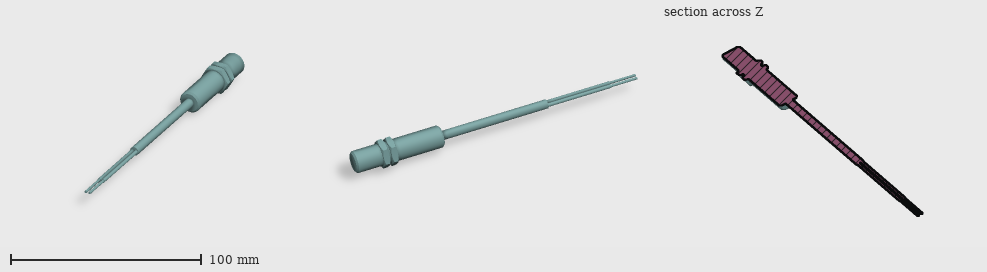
import cadquery as cq
import math

total_length = 160.8
body_length = 50.0
cable_length = 60.0
insulation_length = 36.0

body_diameter = 12.0
cable_diameter = 5.0
insulation_radius = 1.0
conductor_diameter = 1.4

wire_spacing = 2.3
body_chamfer = 1.0

nut_across_flats = 14.0
nut_thickness = 3.7
nut_gap = 1.0
nut_setback = 14.8
nut_face_diameter = 13.5
nut_chamfer_angle = 30.0

face_y = total_length / 2
body_end_y = face_y - body_length
cable_end_y = body_end_y - cable_length
insulation_end_y = cable_end_y - insulation_length
tip_y = -total_length / 2


def rod(diameter, start_y, end_y, x=0.0):
    """Round bar parallel to Y, from start_y down to end_y."""
    plane = cq.Workplane("XZ", origin=(x, start_y, 0))
    return plane.circle(diameter / 2).extrude(start_y - end_y)


def hex_nut(start_y):
    """Nut with two flats facing up and down and its corners bevelled on both faces."""
    across_corners = nut_across_flats / math.cos(math.radians(30))
    corner_radius = across_corners / 2
    face_radius = nut_face_diameter / 2
    bevel = (corner_radius - face_radius) * math.tan(math.radians(nut_chamfer_angle))
    hexagon = (
        cq.Workplane("XZ", origin=(0, start_y, 0))
        .polygon(6, across_corners)
        .extrude(nut_thickness)
    )
    end_y = start_y - nut_thickness
    envelope = (
        cq.Workplane("XY")
        .moveTo(0, start_y)
        .lineTo(face_radius, start_y)
        .lineTo(corner_radius, start_y - bevel)
        .lineTo(corner_radius, end_y + bevel)
        .lineTo(face_radius, end_y)
        .lineTo(0, end_y)
        .close()
        .revolve(360, (0, 0, 0), (0, 1, 0))
    )
    return hexagon.intersect(envelope)


result = rod(body_diameter, face_y, body_end_y).edges().chamfer(body_chamfer)
result = result.union(rod(cable_diameter, body_end_y, cable_end_y))

for index in range(2):
    nut_y = face_y - nut_setback - index * (nut_thickness + nut_gap)
    result = result.union(hex_nut(nut_y))

for side in (-1, 1):
    wire_x = side * wire_spacing / 2
    result = result.union(rod(2 * insulation_radius, cable_end_y, insulation_end_y, wire_x))
    result = result.union(rod(conductor_diameter, insulation_end_y, tip_y, wire_x))